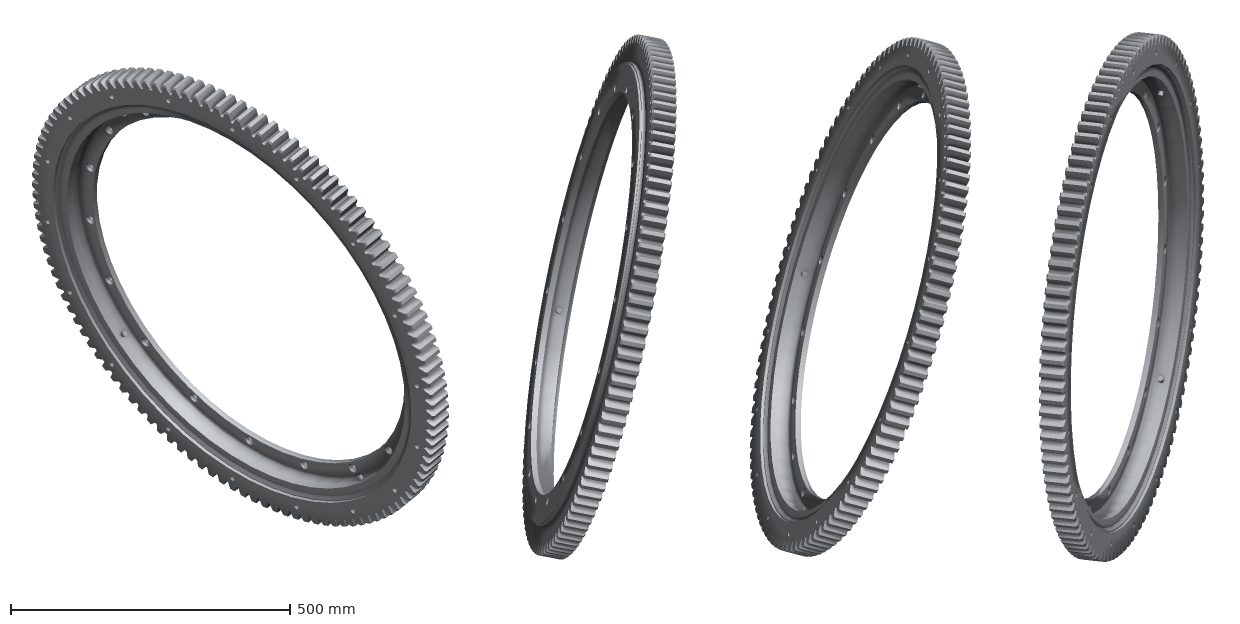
import cadquery as cq
import math

TIP_RADIUS = 475.0
TOTAL_WIDTH = 56.0
GEAR_WIDTH = 46.0

FRONT_Y = -TOTAL_WIDTH / 2
BACK_Y = TOTAL_WIDTH / 2
GEAR_BACK_Y = FRONT_Y + GEAR_WIDTH

TOOTH_COUNT = 117
PITCH_RADIUS = 468.0
PRESSURE_ANGLE = math.radians(20)
ROOT_RADIUS = 458.0
FLANK_START_RADIUS = 459.0
TIP_CHAMFER = 3.0

JOINT_RADIUS = 418.0
SEAL_OUTER_RADIUS = 423.0
SEAL_CREST_RADIUS = 421.0
SEAL_INNER_RADIUS = 415.0
SEAL_CREST_DEPTH = 6.0
FACE_RECESS = 10.0
SEAL_SEAT_DEPTH = 14.0
BACK_SEAL_OUTER_RADIUS = 424.0
BACK_SEAL_WIDTH = 7.0

WALL_RADIUS = 399.0
FLANGE_FILLET = 5.0
BORE_RADIUS = 368.0
FLANGE_THICKNESS = 10.0
LIP_RADIUS = 421.0

BOLT_COUNT = 18
GEAR_BOLT_CIRCLE_RADIUS = 443.0
GEAR_HOLE_DIAMETER = 10.0
GEAR_HOLE_DEPTH = 19.0
FLANGE_BOLT_CIRCLE_RADIUS = 381.0
FLANGE_HOLE_DIAMETER = 18.0

NIPPLE_COUNT = 4
NIPPLE_DIAMETER = 9.5
NIPPLE_TIP_RADIUS = 390.0
NIPPLE_SEAT_RADIUS = 403.0
NIPPLE_Y = -1.0


def revolve_about_y(outline):
    """Revolve a closed (radius, y) outline about the Y axis."""
    return cq.Workplane("XY").polyline(outline).close().revolve(360, (0, 0, 0), (0, 1, 0))


def polar(radius, angle):
    return (radius * math.cos(angle), radius * math.sin(angle))


def involute(angle):
    return math.tan(angle) - angle


def half_tooth_angle(radius):
    """Half the angle that an involute tooth spans at the given radius."""
    local_pressure_angle = math.acos(PITCH_RADIUS * math.cos(PRESSURE_ANGLE) / radius)
    return math.pi / (2 * TOOTH_COUNT) + involute(PRESSURE_ANGLE) - involute(local_pressure_angle)


def make_toothed_disc():
    """Solid disc with the tooth outline, as wide as the gear ring; a tooth gap is at +Z."""
    tooth_pitch = 2 * math.pi / TOOTH_COUNT
    first_tooth = math.pi / 2 + tooth_pitch / 2
    root_half = half_tooth_angle(FLANK_START_RADIUS)
    tip_half = half_tooth_angle(TIP_RADIUS)
    flank_middle_radius = (FLANK_START_RADIUS + TIP_RADIUS) / 2
    middle_half = half_tooth_angle(flank_middle_radius)

    outline = cq.Workplane("XZ", origin=(0, GEAR_BACK_Y, 0))
    outline = outline.moveTo(*polar(FLANK_START_RADIUS, first_tooth - root_half))
    for tooth in range(TOOTH_COUNT):
        center = first_tooth + tooth * tooth_pitch
        next_flank = center + tooth_pitch - root_half
        outline = outline.threePointArc(
            polar(flank_middle_radius, center - middle_half), polar(TIP_RADIUS, center - tip_half)
        )
        outline = outline.threePointArc(
            polar(TIP_RADIUS, center), polar(TIP_RADIUS, center + tip_half)
        )
        outline = outline.threePointArc(
            polar(flank_middle_radius, center + middle_half),
            polar(FLANK_START_RADIUS, center + root_half),
        )
        outline = outline.threePointArc(
            polar(ROOT_RADIUS, center + tooth_pitch / 2), polar(FLANK_START_RADIUS, next_flank)
        )
    return outline.close().extrude(GEAR_WIDTH)


def bolt_holes(circle_radius, diameter, start_y, depth):
    """Cylinders along +Y on a bolt circle, the first one at +Z."""
    return (
        cq.Workplane("XZ", origin=(0, start_y, 0))
        .polarArray(circle_radius, 90, 360, BOLT_COUNT)
        .circle(diameter / 2)
        .extrude(-depth)
    )


def make_gear_ring():
    blank = revolve_about_y([
        (JOINT_RADIUS, FRONT_Y + SEAL_SEAT_DEPTH),
        (SEAL_OUTER_RADIUS, FRONT_Y + SEAL_SEAT_DEPTH),
        (SEAL_OUTER_RADIUS, FRONT_Y),
        (TIP_RADIUS - TIP_CHAMFER, FRONT_Y),
        (TIP_RADIUS, FRONT_Y + TIP_CHAMFER),
        (TIP_RADIUS, GEAR_BACK_Y - TIP_CHAMFER),
        (TIP_RADIUS - TIP_CHAMFER, GEAR_BACK_Y),
        (JOINT_RADIUS, GEAR_BACK_Y),
    ])
    holes = bolt_holes(GEAR_BOLT_CIRCLE_RADIUS, GEAR_HOLE_DIAMETER, FRONT_Y, GEAR_HOLE_DEPTH)
    return blank.cut(holes).intersect(make_toothed_disc())


def make_inner_ring(nipples):
    flange_y = BACK_Y - FLANGE_THICKNESS
    fillet_center = (WALL_RADIUS - FLANGE_FILLET, flange_y - FLANGE_FILLET)
    fillet_middle = (
        fillet_center[0] + FLANGE_FILLET * math.cos(math.pi / 4),
        fillet_center[1] + FLANGE_FILLET * math.sin(math.pi / 4),
    )
    body = (
        cq.Workplane("XY")
        .moveTo(fillet_center[0], flange_y)
        .threePointArc(fillet_middle, (WALL_RADIUS, fillet_center[1]))
        .lineTo(WALL_RADIUS, FRONT_Y + FACE_RECESS)
        .lineTo(SEAL_INNER_RADIUS, FRONT_Y + FACE_RECESS)
        .lineTo(SEAL_INNER_RADIUS, FRONT_Y + SEAL_SEAT_DEPTH)
        .lineTo(JOINT_RADIUS, FRONT_Y + SEAL_SEAT_DEPTH)
        .lineTo(JOINT_RADIUS, GEAR_BACK_Y + BACK_SEAL_WIDTH)
        .lineTo(LIP_RADIUS, GEAR_BACK_Y + BACK_SEAL_WIDTH)
        .lineTo(LIP_RADIUS, BACK_Y)
        .lineTo(BORE_RADIUS, BACK_Y)
        .lineTo(BORE_RADIUS, flange_y)
        .close()
        .revolve(360, (0, 0, 0), (0, 1, 0))
    )
    holes = bolt_holes(FLANGE_BOLT_CIRCLE_RADIUS, FLANGE_HOLE_DIAMETER, flange_y, FLANGE_THICKNESS)
    body = body.cut(holes)
    for nipple in nipples:
        body = body.cut(cq.Workplane(nipple))
    return body


def make_front_seal():
    return revolve_about_y([
        (SEAL_INNER_RADIUS, FRONT_Y + SEAL_SEAT_DEPTH),
        (SEAL_INNER_RADIUS, FRONT_Y + FACE_RECESS),
        (SEAL_CREST_RADIUS, FRONT_Y + SEAL_CREST_DEPTH),
        (SEAL_OUTER_RADIUS, FRONT_Y + SEAL_CREST_DEPTH),
        (SEAL_OUTER_RADIUS, FRONT_Y + SEAL_SEAT_DEPTH),
    ])


def make_back_seal():
    return revolve_about_y([
        (JOINT_RADIUS, GEAR_BACK_Y),
        (BACK_SEAL_OUTER_RADIUS, GEAR_BACK_Y),
        (BACK_SEAL_OUTER_RADIUS, GEAR_BACK_Y + BACK_SEAL_WIDTH),
        (JOINT_RADIUS, GEAR_BACK_Y + BACK_SEAL_WIDTH),
    ])


def make_nipple(angle):
    """Radial pin standing in the inner wall, at an angle measured from +X towards +Z."""
    return cq.Solid.makeCylinder(
        NIPPLE_DIAMETER / 2,
        NIPPLE_SEAT_RADIUS - NIPPLE_TIP_RADIUS,
        cq.Vector(NIPPLE_TIP_RADIUS * math.cos(angle), NIPPLE_Y, NIPPLE_TIP_RADIUS * math.sin(angle)),
        cq.Vector(math.cos(angle), 0, math.sin(angle)),
    )


nipples = [make_nipple(2 * math.pi * (i + 0.5) / NIPPLE_COUNT) for i in range(NIPPLE_COUNT)]
gear_ring = make_gear_ring()
inner_ring = make_inner_ring(nipples)
front_seal = make_front_seal()
back_seal = make_back_seal()

result = cq.Compound.makeCompound([
    gear_ring.val(),
    inner_ring.val(),
    front_seal.val(),
    back_seal.val(),
    *nipples,
])